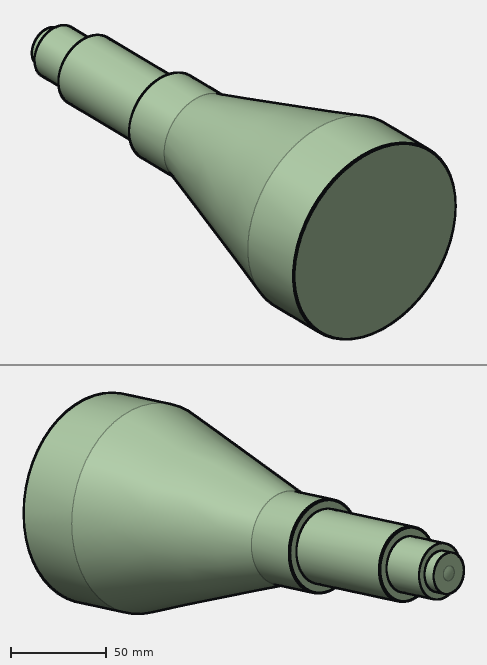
import cadquery as cq
import math

length = 265.0
dome_height = 0.5
journal_start = 7.5
shank_start = 32.0
collar_start = 95.2
cone_start = 124.0
rim_start = 228.0

tip_diameter = 22.0
journal_diameter = 30.0
shank_diameter = 40.0
collar_diameter = 50.0
rim_diameter = 112.0
dome_diameter = 8.0

edge_chamfer = 0.5

dome_radius = dome_diameter / 2
sphere_radius = (dome_radius**2 + dome_height**2) / (2 * dome_height)
half_angle = math.asin(dome_radius / sphere_radius) / 2
dome_midpoint = (
    sphere_radius * (1 - math.cos(half_angle)),
    sphere_radius * math.sin(half_angle),
)

profile = (
    cq.Workplane("XY")
    .moveTo(0, 0)
    .threePointArc(dome_midpoint, (dome_height, dome_radius))
    .lineTo(dome_height, tip_diameter / 2)
    .lineTo(journal_start, tip_diameter / 2)
    .lineTo(journal_start, journal_diameter / 2)
    .lineTo(shank_start, journal_diameter / 2)
)

for diameter, step_start, step_end in (
    (shank_diameter, shank_start, collar_start),
    (collar_diameter, collar_start, cone_start),
):
    radius = diameter / 2
    profile = (
        profile.lineTo(step_start, radius - edge_chamfer)
        .lineTo(step_start + edge_chamfer, radius)
        .lineTo(step_end, radius)
    )

rim_radius = rim_diameter / 2
profile = (
    profile.lineTo(rim_start, rim_radius)
    .lineTo(length - edge_chamfer, rim_radius)
    .lineTo(length, rim_radius - edge_chamfer)
    .lineTo(length, 0)
    .close()
)

result = profile.revolve(360, (0, 0, 0), (1, 0, 0))